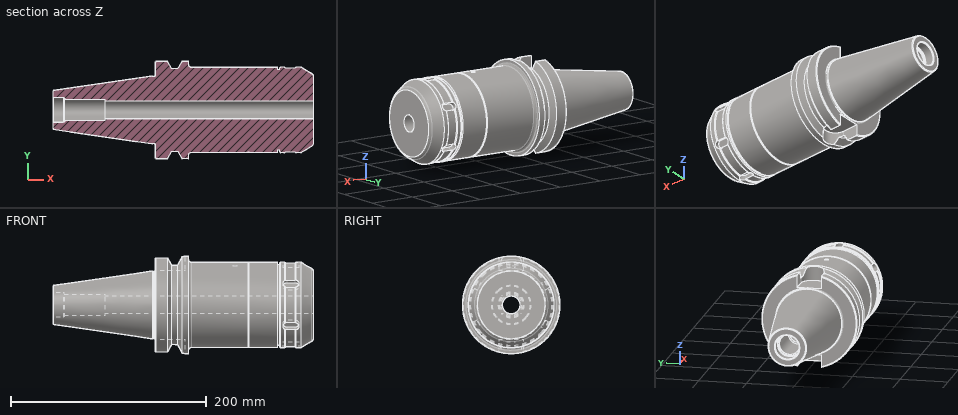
import cadquery as cq
import math

length = 266.8

taper_length = 102.0
gauge_dia = 70.0
taper_rate = 7 / 24
small_end_dia = gauge_dia - taper_rate * taper_length
small_end_chamfer = 0.8
neck_dia = 68.8
neck_step = 0.8
neck_fillet = 1.0

flange_dia = 100.0
front_rim_dia = 99.8
flange_start = 104.5
flange_end = 139.0
flange_front_chamfer = 0.8
front_rim_end = 117.5
groove_dia = 85.0
groove_wall_angle = 30.0
rear_rim_start = 132.0
flange_fillet = 2.7

body_dia = 87.5
body_end = 230.0
ring_groove_start = 199.5
ring_groove_width = 1.0
ring_groove_dia = 87.0

nut_dia = 88.0
gap_dia = 83.0
nut_start = 231.8
nut_chamfer = 1.0
band_dia = 86.5
band_start = 237.2
band_end = 248.7
band_step = 0.8
nut_cone_start = 253.7
nut_cone_end = 264.5
nut_cone_end_dia = 75.2
nose_dia = 69.5

keyway_count = 2
keyway_width = 25.3
keyway_end = 135.3
keyway_floor = 35.2

slot_count = 6
slot_length = 16.5
slot_width = 8.3
slot_center = 243.5
slot_floor = 38.2

pin_hole_dia = 4.0
pin_hole_x = 186.5
pin_hole_depth = 4.0

bore_mouth_dia = 26.7
bore_mouth_chamfer = 0.8
bore_steps = [(25.0, 10.7), (24.0, 12.0), (21.3, 53.4), (18.0, length)]


def make_body():
    """Revolve the outer profile about the X axis."""
    neck_r = neck_dia / 2
    front_rim_r = front_rim_dia / 2
    flange_r = flange_dia / 2
    groove_r = groove_dia / 2
    body_r = body_dia / 2
    nut_r = nut_dia / 2
    wall_slope = math.tan(math.radians(groove_wall_angle))
    front_wall_run = (front_rim_r - groove_r) * wall_slope
    rear_wall_run = (flange_r - groove_r) * wall_slope
    chamfer_gain = small_end_chamfer * taper_rate / 2
    ring_groove_end = ring_groove_start + ring_groove_width
    arc_mid_share = 1 - math.sqrt(0.5)
    neck_arc_mid = neck_fillet * arc_mid_share
    flange_arc_mid = flange_fillet * arc_mid_share
    profile = (
        cq.Workplane("XY")
        .lineTo(0, small_end_dia / 2 - small_end_chamfer)
        .lineTo(small_end_chamfer, small_end_dia / 2 + chamfer_gain)
        .lineTo(taper_length, gauge_dia / 2)
        .lineTo(taper_length + neck_step, neck_r)
        .lineTo(flange_start - neck_fillet, neck_r)
        .threePointArc(
            (flange_start - neck_arc_mid, neck_r + neck_arc_mid),
            (flange_start, neck_r + neck_fillet),
        )
        .lineTo(flange_start, front_rim_r - flange_front_chamfer)
        .lineTo(flange_start + flange_front_chamfer, front_rim_r)
        .lineTo(front_rim_end, front_rim_r)
        .lineTo(front_rim_end + front_wall_run, groove_r)
        .lineTo(rear_rim_start - rear_wall_run, groove_r)
        .lineTo(rear_rim_start, flange_r)
        .lineTo(flange_end, flange_r)
        .lineTo(flange_end, body_r + flange_fillet)
        .threePointArc(
            (flange_end + flange_arc_mid, body_r + flange_arc_mid),
            (flange_end + flange_fillet, body_r),
        )
        .lineTo(ring_groove_start, body_r)
        .lineTo(ring_groove_start, ring_groove_dia / 2)
        .lineTo(ring_groove_end, ring_groove_dia / 2)
        .lineTo(ring_groove_end, body_r)
        .lineTo(body_end, body_r)
        .lineTo(body_end, gap_dia / 2)
        .lineTo(nut_start, gap_dia / 2)
        .lineTo(nut_start, nut_r - nut_chamfer)
        .lineTo(nut_start + nut_chamfer, nut_r)
        .lineTo(band_start, nut_r)
        .lineTo(band_start + band_step, band_dia / 2)
        .lineTo(band_end - band_step, band_dia / 2)
        .lineTo(band_end, nut_r)
        .lineTo(nut_cone_start, nut_r)
        .lineTo(nut_cone_end, nut_cone_end_dia / 2)
        .tangentArcPoint((length, nose_dia / 2), relative=False)
        .lineTo(length, 0)
        .close()
    )
    return profile.revolve(360, (0, 0, 0), (1, 0, 0))


def make_keyway():
    """Round-ended keyway cutter on the +Z side, open towards the taper."""
    radius = keyway_width / 2
    return (
        cq.Workplane("XY")
        .workplane(offset=keyway_floor)
        .moveTo(flange_start, -radius)
        .lineTo(keyway_end - radius, -radius)
        .threePointArc((keyway_end, 0), (keyway_end - radius, radius))
        .lineTo(flange_start, radius)
        .close()
        .extrude(flange_dia / 2)
    )


def make_spanner_slot():
    """Round-ended slot cutter on the +Z side of the nut."""
    return (
        cq.Workplane("XY")
        .workplane(offset=slot_floor)
        .center(slot_center, 0)
        .slot2D(slot_length, slot_width)
        .extrude(nut_dia / 2)
    )


def around_axis(cutter, count):
    """Return copies of the cutter evenly spaced around the X axis."""
    return [cutter.rotate((0, 0, 0), (1, 0, 0), i * 360 / count) for i in range(count)]


def make_pin_hole():
    """Blind hole cutter entering the body from +Z."""
    return (
        cq.Workplane("XY")
        .workplane(offset=body_dia / 2 - pin_hole_depth)
        .center(pin_hole_x, 0)
        .circle(pin_hole_dia / 2)
        .extrude(body_dia)
    )


def make_bore():
    """Stepped bore with a chamfered mouth at the small end of the taper."""
    mouth_r = bore_mouth_dia / 2
    profile = cq.Workplane("XY").lineTo(0, mouth_r)
    start = bore_mouth_chamfer
    for diameter, end in bore_steps:
        profile = profile.lineTo(start, diameter / 2).lineTo(end, diameter / 2)
        start = end
    return profile.lineTo(length, 0).close().revolve(360, (0, 0, 0), (1, 0, 0))


result = make_body()
for keyway in around_axis(make_keyway(), keyway_count):
    result = result.cut(keyway)
for slot in around_axis(make_spanner_slot(), slot_count):
    result = result.cut(slot)
result = result.cut(make_pin_hole()).cut(make_bore())